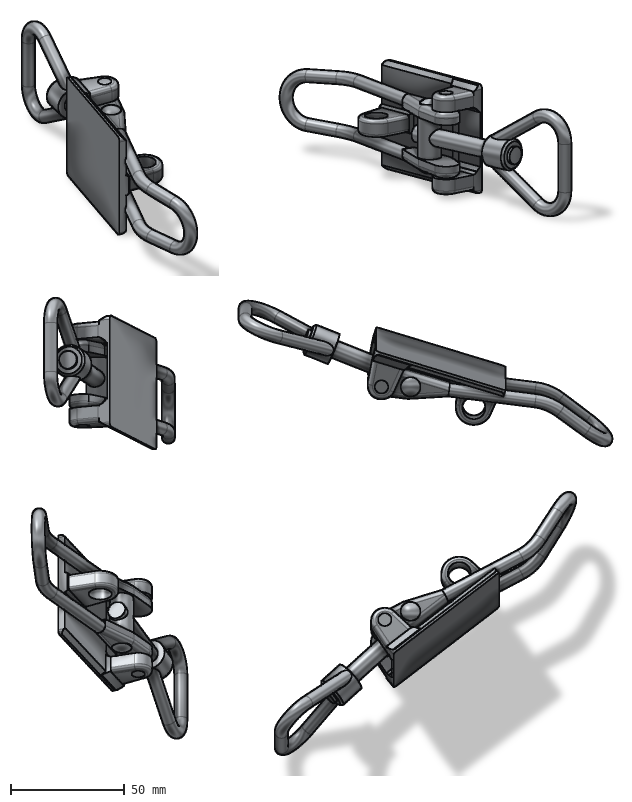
import cadquery as cq
import math


OVERALL_LENGTH = 175.0

PLATE_LENGTH = 60.0
PLATE_WIDTH = 50.0
PLATE_THICKNESS = 3.3
PLATE_CORNER_RADIUS = 2.0
PLATE_SIDE_CHAMFER = 2.1

BAY_FLOOR = 1.2
BAY_FLOOR_HALF_WIDTH = 12.5
BAY_SLOPE = 40.0

UPRIGHT_DRAFT = math.radians(6.5)
FOOT_START = 1.5
FOOT_TOP = 5.0
FOOT_FLARE = 2.1

PIVOT_X = -22.8
PIVOT_Y = 15.2
EAR_TIP_RADIUS = 6.1
EAR_OUTER_Z = 22.8
EAR_EDGE_FILLET = 2.1
STUB_RADIUS = 3.0

EYE_X = 20.3
EYE_Y = 16.1
EYE_TIP_RADIUS = 8.0
EYE_HOLE_RADIUS = 5.0
EYE_THICKNESS = 8.0
EYE_EDGE_FILLET = 1.5

WIRE_RADIUS = 3.0
LEG_Z = 12.5
LEG_START = (6.8, 9.8)
LEG_SLOPE = math.radians(-9.9)
BEND_X = 50.5
BEND_RADIUS = 22.8
GRIP_SLOPE = math.radians(19.9)
GRIP_LEAN = math.radians(3.2)
ARM_CREST = (-9.3, 19.0)
ARM_HEEL_X = -17.5
ARM_EDGE_FILLET = 2.8
HUB_RADIUS = 6.1

TRUNNION_X = -10.0
TRUNNION_Y = 13.0
TRUNNION_RADIUS = 5.3
TRUNNION_END_RADIUS = 4.4
TRUNNION_DOME_HEIGHT = 1.8

ROD_RADIUS = 4.0
ROD_TILT = 4.8
ROD_LENGTH = 50.2
ROD_OVERHANG = 1.8

NUT_RADIUS = 7.2
NUT_LENGTH = 12.0
NUT_CHAMFER = 1.0
NUT_TIP_GAP = 1.4
LOOP_REACH = 79.0
LOOP_CORNER_RADIUS = 10.3
LOOP_CORNER_Z = 11.0
LOOP_SIDE_ANGLE = math.radians(31.5)

ARM_INNER_Z = LEG_Z - WIRE_RADIUS
ARM_OUTER_Z = LEG_Z + WIRE_RADIUS
EAR_INNER_Z = ARM_OUTER_Z

LOOP_BACK_X = TRUNNION_X - LOOP_REACH * math.cos(math.radians(ROD_TILT))
GRIP_TIP_X = LOOP_BACK_X + OVERALL_LENGTH - 2 * WIRE_RADIUS


def z_cylinder(x, y, radius, z_from, z_to):
    """Cylinder along Z between two heights."""
    return cq.Workplane("XY").workplane(offset=z_from).center(x, y).circle(radius).extrude(z_to - z_from)


def mirrored_pair(body):
    """The body joined with its mirror image across Z = 0."""
    return body.union(body.mirror("XY"))


def upright_half_length(y, tip_radius, level):
    """Half the length of an upright at a level below its tip centre."""
    return tip_radius / math.cos(UPRIGHT_DRAFT) + (y - level) * math.tan(UPRIGHT_DRAFT)


def upright(x, y, tip_radius, z_from, z_to):
    """Post that stands on Y = 0, its drafted sides tangent to a round tip centred on (x, y)."""
    half_length = upright_half_length(y, tip_radius, 0)
    shoulder_x = tip_radius * math.cos(UPRIGHT_DRAFT)
    shoulder_y = y + tip_radius * math.sin(UPRIGHT_DRAFT)
    return (
        cq.Workplane("XY")
        .workplane(offset=z_from)
        .moveTo(x - half_length, 0)
        .lineTo(x - shoulder_x, shoulder_y)
        .threePointArc((x, y + tip_radius), (x + shoulder_x, shoulder_y))
        .lineTo(x + half_length, 0)
        .close()
        .extrude(z_to - z_from)
    )


def flared_foot(x, z_centre, length, width):
    """Tapered block that spreads an upright's base over the plate."""
    taper = math.degrees(math.atan2(FOOT_FLARE, FOOT_TOP - FOOT_START))
    return (
        cq.Workplane(cq.Plane((x, FOOT_START, z_centre), (1, 0, 0), (0, 1, 0)))
        .rect(length + 2 * FOOT_FLARE, width + 2 * FOOT_FLARE)
        .extrude(FOOT_TOP - FOOT_START, taper=taper)
    )


def plate_block(height):
    """Rounded rectangular block on the mounting face."""
    return (
        cq.Workplane("XY")
        .box(PLATE_LENGTH, height, PLATE_WIDTH, centered=(True, False, True))
        .edges("|Y")
        .fillet(PLATE_CORNER_RADIUS)
    )


def make_plate():
    side_chamfer = (
        cq.Workplane("YZ")
        .workplane(offset=-PLATE_LENGTH)
        .moveTo(PLATE_THICKNESS, PLATE_WIDTH / 2)
        .lineTo(PLATE_THICKNESS, PLATE_WIDTH / 2 - PLATE_SIDE_CHAMFER)
        .lineTo(PLATE_THICKNESS - PLATE_SIDE_CHAMFER, PLATE_WIDTH / 2)
        .close()
        .extrude(2 * PLATE_LENGTH)
    )
    return plate_block(PLATE_THICKNESS).cut(mirrored_pair(side_chamfer))


def make_bay():
    """Cutter for the sunken bay, open at the pull end and sloped on its other sides."""
    back_x = PIVOT_X + EAR_TIP_RADIUS
    front_x = -PLATE_LENGTH
    return (
        cq.Workplane(cq.Plane(((back_x + front_x) / 2, BAY_FLOOR, 0), (1, 0, 0), (0, 1, 0)))
        .rect(back_x - front_x, 2 * BAY_FLOOR_HALF_WIDTH)
        .extrude(PLATE_THICKNESS - BAY_FLOOR, taper=-BAY_SLOPE)
    )


def make_ear():
    ear = upright(PIVOT_X, PIVOT_Y, EAR_TIP_RADIUS, EAR_INNER_Z, EAR_OUTER_Z)
    ear = ear.faces(">Z").edges("not <Y").fillet(EAR_EDGE_FILLET)
    foot = flared_foot(
        PIVOT_X,
        (EAR_INNER_Z + EAR_OUTER_Z) / 2,
        2 * upright_half_length(PIVOT_Y, EAR_TIP_RADIUS, FOOT_TOP),
        EAR_OUTER_Z - EAR_INNER_Z,
    )
    return ear.union(foot)


def make_eye():
    half = EYE_THICKNESS / 2
    eye = upright(EYE_X, EYE_Y, EYE_TIP_RADIUS, -half, half)
    eye = eye.faces("<Z or >Z").edges("not <Y").fillet(EYE_EDGE_FILLET)
    foot_length = 2 * upright_half_length(EYE_Y, EYE_TIP_RADIUS, FOOT_TOP)
    foot = flared_foot(EYE_X, 0, foot_length, EYE_THICKNESS)
    return eye.union(foot).cut(z_cylinder(EYE_X, EYE_Y, EYE_HOLE_RADIUS, -half, half))


def make_base():
    uprights = mirrored_pair(make_ear()).union(make_eye())
    uprights = uprights.intersect(plate_block(PLATE_WIDTH))
    pivot_bore = z_cylinder(PIVOT_X, PIVOT_Y, STUB_RADIUS, -PLATE_WIDTH / 2, PLATE_WIDTH / 2)
    wire_seats = make_handle_wire()
    return make_plate().union(uprights).cut(make_bay()).cut(pivot_bore).cut(wire_seats)


def handle_path():
    """Centre line of the handle wire, from one arm around the grip to the other arm."""
    leg = cq.Vector(math.cos(LEG_SLOPE), math.sin(LEG_SLOPE), 0)
    grip = cq.Vector(math.cos(GRIP_SLOPE), math.sin(GRIP_SLOPE), 0)
    across = cq.Vector(0, 0, 1)
    start = cq.Vector(*LEG_START, LEG_Z)
    corner = start + leg * ((BEND_X - LEG_START[0]) / leg.x)

    leaning = grip * math.cos(GRIP_LEAN) - across * math.sin(GRIP_LEAN)
    half_turn = leg.getAngle(leaning) / 2
    tangent_length = BEND_RADIUS * math.tan(half_turn)
    bend_start = corner - leg * tangent_length
    bend_end = corner + leaning * tangent_length
    inward = (leaning - leg).normalized()
    bend_middle = corner + inward * (BEND_RADIUS / math.cos(half_turn) - BEND_RADIUS)

    mid_corner = cq.Vector(corner.x, corner.y, 0)
    tip_reach = (GRIP_TIP_X - BEND_X) / grip.x
    end_radius = (LEG_Z * math.cos(GRIP_LEAN) - tip_reach * math.sin(GRIP_LEAN)) / (1 - math.sin(GRIP_LEAN))
    end_centre = mid_corner + grip * (tip_reach - end_radius)
    outward = across * math.cos(GRIP_LEAN) + grip * math.sin(GRIP_LEAN)
    end_start = end_centre + outward * end_radius
    tip = mid_corner + grip * tip_reach

    def flipped(point):
        return cq.Vector(point.x, point.y, -point.z)

    return cq.Wire.assembleEdges([
        cq.Edge.makeLine(start, bend_start),
        cq.Edge.makeThreePointArc(bend_start, bend_middle, bend_end),
        cq.Edge.makeLine(bend_end, end_start),
        cq.Edge.makeThreePointArc(end_start, tip, flipped(end_start)),
        cq.Edge.makeLine(flipped(end_start), flipped(bend_end)),
        cq.Edge.makeThreePointArc(flipped(bend_end), flipped(bend_middle), flipped(bend_start)),
        cq.Edge.makeLine(flipped(bend_start), flipped(start)),
    ])


def make_handle_wire():
    leg_plane = cq.Plane((*LEG_START, LEG_Z), (0, 0, 1), (math.cos(LEG_SLOPE), math.sin(LEG_SLOPE), 0))
    return cq.Workplane(leg_plane).circle(WIRE_RADIUS).sweep(cq.Workplane(obj=handle_path()))


def make_arm():
    """Flat arm from the pivot hub to the wire, rounded along its outer edges, with its pivot stub."""
    rise = (-WIRE_RADIUS * math.sin(LEG_SLOPE), WIRE_RADIUS * math.cos(LEG_SLOPE))
    end_top = (LEG_START[0] + rise[0], LEG_START[1] + rise[1])
    end_bottom = (LEG_START[0] - rise[0], LEG_START[1] - rise[1])

    dx = ARM_CREST[0] - PIVOT_X
    dy = ARM_CREST[1] - PIVOT_Y
    tangent_angle = math.atan2(dy, dx) + math.acos(HUB_RADIUS / math.hypot(dx, dy))
    tangent_point = (
        PIVOT_X + HUB_RADIUS * math.cos(tangent_angle),
        PIVOT_Y + HUB_RADIUS * math.sin(tangent_angle),
    )
    heel_offset = HUB_RADIUS * math.sin(math.pi / 4)
    arm = (
        cq.Workplane("XY")
        .workplane(offset=ARM_INNER_Z)
        .moveTo(*tangent_point)
        .lineTo(*ARM_CREST)
        .lineTo(*end_top)
        .lineTo(*end_bottom)
        .lineTo(ARM_HEEL_X, end_bottom[1])
        .lineTo(PIVOT_X - heel_offset, PIVOT_Y - heel_offset)
        .threePointArc((PIVOT_X - HUB_RADIUS, PIVOT_Y), tangent_point)
        .close()
        .extrude(ARM_OUTER_Z - ARM_INNER_Z)
    )
    arm = arm.faces(">Z").edges("not >X").fillet(ARM_EDGE_FILLET)
    stub = z_cylinder(PIVOT_X, PIVOT_Y, STUB_RADIUS, LEG_Z, EAR_OUTER_Z)
    return arm.union(stub)


def make_handle():
    arms = mirrored_pair(make_arm())
    trunnion_bore = z_cylinder(TRUNNION_X, TRUNNION_Y, TRUNNION_END_RADIUS, -ARM_OUTER_Z, ARM_OUTER_Z)
    return arms.union(make_handle_wire()).cut(trunnion_bore)


def on_rod_axis(body):
    """Moves a body built along X, with the trunnion at the origin, onto the tilted draw axis."""
    return body.rotate((0, 0, 0), (0, 0, 1), ROD_TILT).translate((TRUNNION_X, TRUNNION_Y, 0))


def x_cylinder(radius, x_from, x_to):
    """Cylinder along X about the origin axis."""
    return cq.Workplane("YZ").workplane(offset=x_from).circle(radius).extrude(x_to - x_from)


def make_rod():
    return on_rod_axis(x_cylinder(ROD_RADIUS, -ROD_LENGTH, TRUNNION_RADIUS + ROD_OVERHANG))


def make_trunnion():
    """Cross barrel with reduced, domed ends that turn in the handle arms."""
    barrel = z_cylinder(TRUNNION_X, TRUNNION_Y, TRUNNION_RADIUS, -ARM_INNER_Z, ARM_INNER_Z)
    journal = z_cylinder(TRUNNION_X, TRUNNION_Y, TRUNNION_END_RADIUS, -ARM_OUTER_Z, ARM_OUTER_Z)
    dome_radius = (TRUNNION_END_RADIUS**2 + TRUNNION_DOME_HEIGHT**2) / (2 * TRUNNION_DOME_HEIGHT)
    dome_centre_z = ARM_OUTER_Z + TRUNNION_DOME_HEIGHT - dome_radius
    ball = cq.Workplane("XY").sphere(dome_radius).translate((TRUNNION_X, TRUNNION_Y, dome_centre_z))
    dome = ball.intersect(
        z_cylinder(TRUNNION_X, TRUNNION_Y, dome_radius, ARM_OUTER_Z, ARM_OUTER_Z + dome_radius)
    )
    return barrel.union(journal).union(mirrored_pair(dome)).cut(make_rod())


def make_pull_loop():
    """Triangular wire loop whose sides end in a sleeve nut on the draw rod."""
    nut_start = -ROD_LENGTH + NUT_TIP_GAP
    nut_end = nut_start + NUT_LENGTH
    corner_x = -LOOP_REACH + LOOP_CORNER_RADIUS
    mid_corner_angle = (math.pi + math.pi / 2 - LOOP_SIDE_ANGLE) / 2
    side_x = corner_x + LOOP_CORNER_RADIUS * math.sin(LOOP_SIDE_ANGLE)
    side_z = LOOP_CORNER_Z + LOOP_CORNER_RADIUS * math.cos(LOOP_SIDE_ANGLE)
    arc_x = corner_x + LOOP_CORNER_RADIUS * math.cos(mid_corner_angle)
    arc_z = LOOP_CORNER_Z + LOOP_CORNER_RADIUS * math.sin(mid_corner_angle)
    apex_x = side_x + side_z / math.tan(LOOP_SIDE_ANGLE)
    half_path = (
        cq.Workplane("XZ")
        .moveTo(-LOOP_REACH, 0)
        .lineTo(-LOOP_REACH, LOOP_CORNER_Z)
        .threePointArc((arc_x, arc_z), (side_x, side_z))
        .lineTo(apex_x, 0)
    )
    half_wire = cq.Workplane("XY").center(-LOOP_REACH, 0).circle(WIRE_RADIUS).sweep(half_path)
    nut = x_cylinder(NUT_RADIUS, nut_start, nut_end).faces("<X").chamfer(NUT_CHAMFER)
    trim = x_cylinder(PLATE_WIDTH, nut_end, 0)
    loop = mirrored_pair(half_wire).cut(trim).union(nut)
    return on_rod_axis(loop).cut(make_rod())


base = make_base()
handle = make_handle()
trunnion = make_trunnion()
rod = make_rod()
pull_loop = make_pull_loop()

result = cq.Compound.makeCompound([
    base.val(),
    handle.val(),
    trunnion.val(),
    rod.val(),
    pull_loop.val(),
])